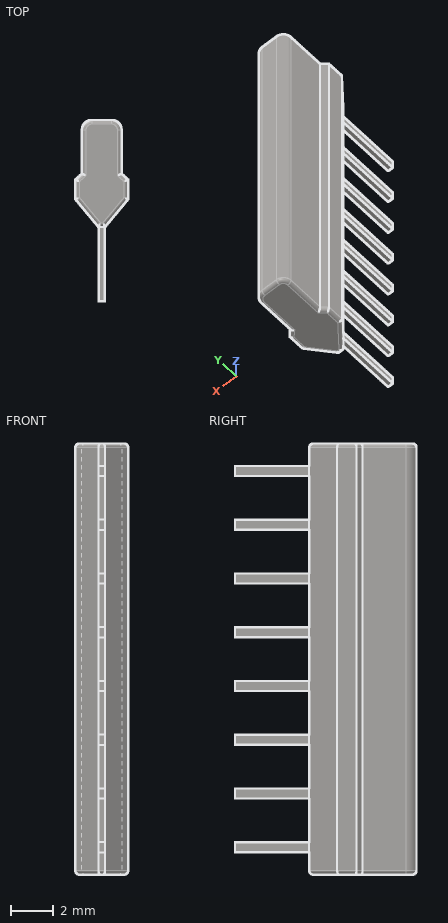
import cadquery as cq

length = 20.4
depth = 8.59
collar_width = 2.5

back_width = 1.9
back_radius = 0.49
body_depth = 5.08
shoulder_start = 2.55
shoulder_end = 2.84
collar_end = 3.75
edge_radius = 0.2

pin_count = 8
pin_margin = 1.3
pin_pitch = (length - 2 * pin_margin) / (pin_count - 1)
pin_thickness = 0.3
pin_height = 0.49
pin_embed = 0.4

back_y = depth / 2
front_y = back_y - body_depth
pin_tip_y = -depth / 2


def make_body():
    """Extrude the symmetric arrow-shaped section and round its edges."""
    back_x = back_width / 2
    collar_x = collar_width / 2
    nose_x = pin_thickness / 2
    shoulder_y = back_y - shoulder_start
    collar_y = back_y - collar_end
    arc_start_y = back_y - back_radius
    section = (
        cq.Workplane("XY", origin=(0, 0, -length / 2))
        .moveTo(0, back_y)
        .lineTo(back_x - back_radius, back_y)
        .radiusArc((back_x, arc_start_y), back_radius)
        .lineTo(back_x, shoulder_y)
        .lineTo(collar_x, back_y - shoulder_end)
        .lineTo(collar_x, collar_y)
        .lineTo(nose_x, front_y)
        .lineTo(0, front_y)
        .mirrorY()
    )
    return section.extrude(length).faces("<Z or >Z").edges().fillet(edge_radius)


def make_pin(z):
    """Flat pin running from inside the nose to the front of the part."""
    pin_length = front_y + pin_embed - pin_tip_y
    return cq.Workplane("XY").box(pin_thickness, pin_length, pin_height).translate(
        (0, pin_tip_y + pin_length / 2, z)
    )


result = make_body()
for index in range(pin_count):
    pin_z = pin_margin + index * pin_pitch - length / 2
    result = result.union(make_pin(pin_z))